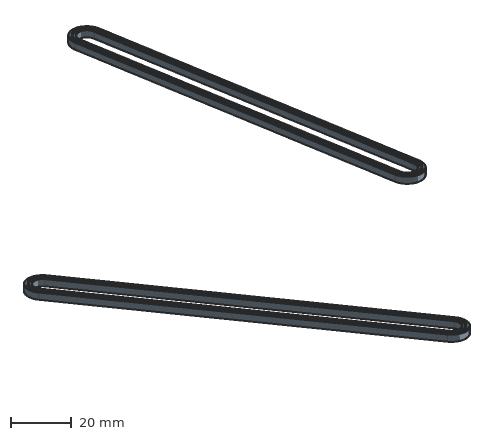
import cadquery as cq

length = 150.0
width = 12.5
height = 3.2

opening_width = 6.9
band = (width - opening_width) / 2
edge_chamfer = 0.3

groove_width = 0.6
groove_depth = 0.3


def slot_prism(inset, depth):
    """Round-ended prism, inset from the outer outline, rising from Z = 0."""
    return cq.Workplane("XY").slot2D(length - 2 * inset, width - 2 * inset).extrude(depth)


def ring(outer_inset, ring_width, depth):
    """Round-ended ring of constant width whose outer side is inset from the outline."""
    return slot_prism(outer_inset, depth).cut(slot_prism(outer_inset + ring_width, depth))


body = ring(0, band, height).translate((0, 0, -height / 2))
body = body.faces("<Z or >Z").chamfer(edge_chamfer)

groove = ring((band - groove_width) / 2, groove_width, groove_depth)
groove = groove.translate((0, 0, height / 2 - groove_depth))

result = body.cut(groove)